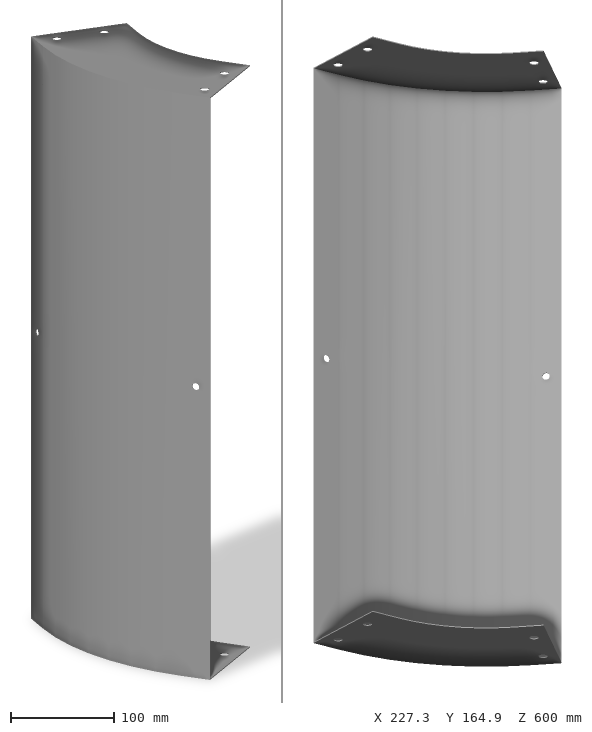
import cadquery as cq
import math

height = 600.0
sheet = 1.0
flange_width = 100.0
bend_angle = 45.0
outer_radius = 249.0
straight = 30.0

flange_hole_inset = 14.5
flange_hole_diameter = 9.0
flange_hole_offsets = (21.0, 71.0)
wall_hole_diameter = 7.0
wall_hole_inset = 15.0


def path_point(length_past_arc, offset, angle):
    """Point beyond the arc position `angle`, moved inward from the outer face by `offset`."""
    a = math.radians(angle)
    radius = outer_radius - offset
    x = straight + radius * math.sin(a) + length_past_arc * math.cos(a)
    y = outer_radius - radius * math.cos(a) + length_past_arc * math.sin(a)
    return (x, y)


def curved_strip(width, thickness):
    """Straight-arc-straight strip, `width` wide inward from the outer face, extruded along Z."""
    return (
        cq.Workplane("XY")
        .moveTo(0, 0)
        .lineTo(straight, 0)
        .threePointArc(path_point(0, 0, bend_angle / 2), path_point(0, 0, bend_angle))
        .lineTo(*path_point(straight, 0, bend_angle))
        .lineTo(*path_point(straight, width, bend_angle))
        .lineTo(*path_point(0, width, bend_angle))
        .threePointArc(path_point(0, width, bend_angle / 2), (straight, width))
        .lineTo(0, width)
        .close()
        .extrude(thickness)
    )


wall = curved_strip(sheet, height)
flange = curved_strip(flange_width, sheet)
body = wall.union(flange).union(flange.translate((0, 0, height - sheet)))

flange_hole_points = []
for offset in flange_hole_offsets:
    flange_hole_points.append((flange_hole_inset, offset))
    flange_hole_points.append(path_point(straight - flange_hole_inset, offset, bend_angle))
flange_holes = (
    cq.Workplane("XY")
    .pushPoints(flange_hole_points)
    .circle(flange_hole_diameter / 2)
    .extrude(height)
)


def wall_hole(point, angle):
    """Cutter square to the wall at mid height, running through the sheet."""
    a = math.radians(angle)
    inward = cq.Vector(-math.sin(a), math.cos(a), 0)
    start = cq.Vector(point[0], point[1], height / 2) - inward * sheet
    return cq.Solid.makeCylinder(wall_hole_diameter / 2, 3 * sheet, start, inward)


near_hole = wall_hole((wall_hole_inset, 0), 0)
far_hole = wall_hole(path_point(straight - wall_hole_inset, 0, bend_angle), bend_angle)

result = body.cut(flange_holes).cut(cq.Workplane(near_hole)).cut(cq.Workplane(far_hole))